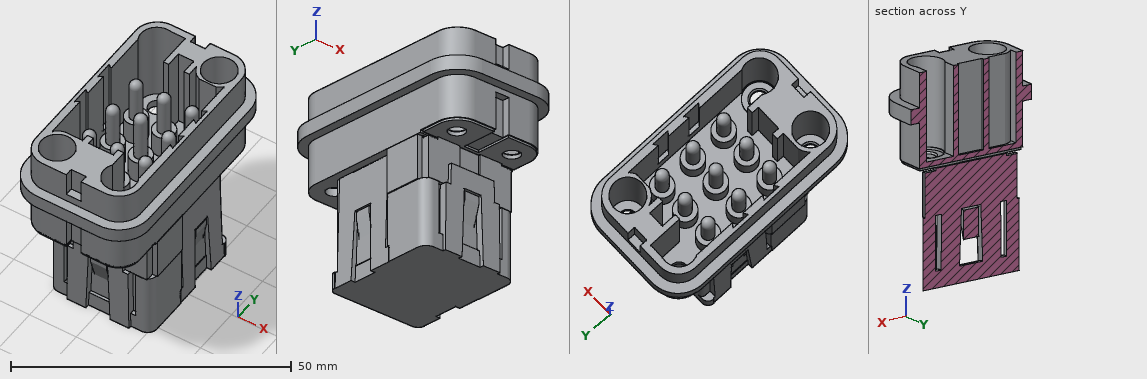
import cadquery as cq


top_z = 41.15
flange_top_z = 34.55
flange_bottom_z = 31.6
shell_bottom_z = 22.55
front_relief_top_z = 23.02
body_notch_z = 22.1
body_step_z = 13.65
groove_end_z = 3.28
cavity_floor_z = 24.1
bolt_seat_z = 23.65

flange_x = 26.3
flange_y = 45.5
flange_corner = 6.45
shell_x = 22.48
shell_y = 41.6
shell_corner = 4.55
front_relief_y = -11.38
skirt_start_y = -11.85
skirt_inset = 0.25
skirt_notch_half = 1.75
skirt_notch_back_y = -12.65

notch_width = 3.2
notch_depth = 1.6
upper_notch_bottom_z = 36.15
lower_notch_top_z = 30.5

cavity_half_x = 9.7
cavity_back_y = 12.3
cavity_front_y = -12.0
bolt_x = 6.7
bolt_y = 16.05
bore_radius = 3.35
seat_radius = 3.25
tube_radius = 4.2
bolt_hole_radius = 1.75
bolt_chamfer = 0.3
back_rib_outer_x = 2.78
back_rib_inner_x = 1.65
back_slot_y = 15.42
back_pocket_y = 19.35
front_rib_inner_x = 2.65
front_rib_outer_x = 3.9
front_rib_y = -10.5
wall_groove_depth = 0.8
wall_groove_length = 3.65
wall_groove_flare = 0.55
wall_groove_bottom_z = 27.3

pin_pitch_x = 6.0
pin_pitch_y = 7.5
pin_centre_y = 0.8
pin_radius = 1.27
pin_top_z = 37.75
centre_pin_top_z = 38.95
pin_boss_radius = 2.28
pin_boss_top_z = 28.9

body_half_x = 10.9
core_half_x = 9.37
upper_front_half_x = 10.05
body_front_y = -12.38
upper_front_y = -12.3
body_back_y = 13.0
front_corner = 2.0
back_corner = 1.55
core_corner = 0.9
upper_block_half_x = 11.15
block_front_y = -10.55
block_back_y = -2.45
block_slope_y = -1.55
front_panel_y = -13.0
front_panel_top_z = 17.9
front_panel_bottom_half = 6.65
front_panel_step_half = 6.45
front_tongue_step_half = 5.32
front_tongue_top_half = 5.2
front_groove_half = 7.65
groove_depth = 0.9
front_recess_half = 2.4
front_recess_depth = 0.35
top_notch_half_x = 7.75
top_notch_y = -10.8
side_panel_front_y = -1.7
side_panel_back_y = 11.0
side_base_front_y = -2.7
side_base_back_y = 11.45
side_panel_bottom_x = 10.85
side_panel_top_x = 10.15

side_window_y = 4.7
window_top_z = 13.92
window_bottom_half = 2.6
window_top_half = 2.05
front_window_depth = 1.45
front_window_foot_depth = 0.85
side_window_depth = 1.15
side_window_foot_depth = 1.0
catch_half = 1.7
front_catch_bottom_z = 7.85
side_catch_bottom_z = 8.33
catch_edge_z = 12.15
catch_top_z = 13.6
front_catch_setback = 0.2
side_catch_setback = 0.45


def block(x0, x1, y0, y1, z0, z1):
    """Box between two opposite corners."""
    return cq.Workplane("XY").box(x1 - x0, y1 - y0, z1 - z0, centered=False).translate((x0, y0, z0))


def rounded_block(width, length, radius, z0, z1):
    """Box centred on X = Y = 0 with rounded vertical edges."""
    solid = block(-width / 2, width / 2, -length / 2, length / 2, z0, z1)
    return solid.edges("|Z").fillet(radius)


def cylinder(x, y, radius, z0, z1):
    return cq.Workplane("XY").circle(radius).extrude(z1 - z0).translate((x, y, z0))


def prism_z(points, z0, z1):
    """Outline in X and Y, extruded upward."""
    return cq.Workplane("XY").polyline(points).close().extrude(z1 - z0).translate((0, 0, z0))


def prism_y(points, y0, y1):
    """Outline in X and Z, extruded from y0 to y1."""
    return cq.Workplane("XZ").polyline(points).close().extrude(y0 - y1).translate((0, y0, 0))


def tapered_plate(bottom_half, top_half, z0, z1, y0, y1):
    """Plate symmetric about X = 0 whose width changes with height."""
    outline = [(-bottom_half, z0), (bottom_half, z0), (top_half, z1), (-top_half, z1)]
    return prism_y(outline, y0, y1)


def both_sides(solid):
    """A solid together with its mirror image across X = 0."""
    return solid.union(solid.mirror("YZ"))


def make_shell():
    """Flanged outer shell with end notches and a thin front skirt under a relief."""
    shell = rounded_block(shell_x, shell_y, shell_corner, shell_bottom_z, top_z)
    relief = block(-flange_x, flange_x, -flange_y, front_relief_y, shell_bottom_z, front_relief_top_z)
    skirt = rounded_block(
        shell_x - 2 * skirt_inset,
        shell_y - 2 * skirt_inset,
        shell_corner - skirt_inset,
        shell_bottom_z,
        front_relief_top_z,
    )
    skirt = skirt.intersect(block(-flange_x, flange_x, -flange_y, skirt_start_y, 0, top_z))
    flange = rounded_block(flange_x, flange_y, flange_corner, flange_bottom_z, flange_top_z)
    shell = shell.cut(relief).union(flange)

    half_notch = notch_width / 2
    end_y = shell_y / 2
    for y0 in (-end_y, end_y - notch_depth):
        y1 = y0 + notch_depth
        shell = shell.cut(block(-half_notch, half_notch, y0, y1, upper_notch_bottom_z, top_z))
        shell = shell.cut(block(-half_notch, half_notch, y0, y1, shell_bottom_z, lower_notch_top_z))
    skirt_notch = block(
        -skirt_notch_half, skirt_notch_half, -end_y, skirt_notch_back_y, shell_bottom_z, front_relief_top_z
    )
    return shell.union(skirt.cut(skirt_notch))


def make_cavity():
    """Open space above the cavity floor, leaving the ribs and bolt tubes standing."""
    z0, z1 = cavity_floor_z, top_z
    edge = cavity_half_x
    cavity = block(-edge, edge, cavity_front_y, cavity_back_y, z0, z1)

    cavity = cavity.union(block(-edge, -back_rib_outer_x, cavity_back_y, bolt_y, z0, z1))
    cavity = cavity.union(block(-bolt_x, -back_rib_outer_x, bolt_y, back_pocket_y, z0, z1))
    cavity = cavity.union(cylinder(-bolt_x, bolt_y, bore_radius, z0, z1))
    cavity = cavity.union(block(-back_rib_inner_x, back_rib_inner_x, cavity_back_y, back_slot_y, z0, z1))
    tube = cylinder(bolt_x, bolt_y, tube_radius, z0, z1)
    cavity = cavity.union(block(back_rib_outer_x, edge, cavity_back_y, bolt_y, z0, z1).cut(tube))

    tube = cylinder(-bolt_x, -bolt_y, tube_radius, z0, z1)
    cavity = cavity.union(block(-edge, -bolt_x, -bolt_y, cavity_front_y, z0, z1).cut(tube))
    cavity = cavity.union(block(front_rib_outer_x, edge, -bolt_y, cavity_front_y, z0, z1))
    rib = block(front_rib_inner_x, front_rib_outer_x, cavity_front_y, front_rib_y, z0, z1)
    cavity = cavity.cut(both_sides(rib))

    half_length = wall_groove_length / 2
    outer = edge + wall_groove_depth
    for step in (-0.5, 0.5):
        y = pin_centre_y + step * pin_pitch_y
        groove = prism_z(
            [
                (edge, y - half_length + wall_groove_flare),
                (outer, y - half_length),
                (outer, y + half_length),
                (edge, y + half_length - wall_groove_flare),
            ],
            wall_groove_bottom_z,
            z1,
        )
        cavity = cavity.union(both_sides(groove))
    return cavity


def make_bolt_cuts():
    """Bores and through holes at the four bolts, countersunk at the front pair."""
    cuts = cylinder(bolt_x, bolt_y, bore_radius, bolt_seat_z, top_z)
    cuts = cuts.union(cylinder(-bolt_x, -bolt_y, bore_radius, bolt_seat_z, top_z))
    cuts = cuts.union(cylinder(bolt_x, -bolt_y, bore_radius, cavity_floor_z, top_z))
    cuts = cuts.union(cylinder(bolt_x, -bolt_y, seat_radius, bolt_seat_z, cavity_floor_z))
    for x in (-bolt_x, bolt_x):
        for y in (-bolt_y, bolt_y):
            cuts = cuts.union(cylinder(x, y, bolt_hole_radius, 0, top_z))
        countersink = (
            cq.Workplane("XY", origin=(x, -bolt_y, bolt_seat_z - bolt_chamfer))
            .circle(bolt_hole_radius)
            .workplane(offset=bolt_chamfer)
            .circle(bolt_hole_radius + bolt_chamfer)
            .loft()
        )
        cuts = cuts.union(countersink)
    return cuts


def make_pins():
    """Round-tipped pins on bosses; the middle pin is taller."""
    pins = cq.Workplane("XY")
    for column in (-1, 0, 1):
        for row in (-1, 0, 1):
            x = column * pin_pitch_x
            y = pin_centre_y + row * pin_pitch_y
            tip_z = centre_pin_top_z if (column, row) == (0, 0) else pin_top_z
            dome_z = tip_z - pin_radius
            dome = cq.Workplane("XY").sphere(pin_radius).translate((x, y, dome_z))
            pins = pins.add(cylinder(x, y, pin_boss_radius, shell_bottom_z, pin_boss_top_z))
            pins = pins.add(cylinder(x, y, pin_radius, shell_bottom_z, dome_z).union(dome))
    return pins.combine()


def make_window(depth, foot_depth, catch_bottom_z, catch_setback):
    """Cutter for a tapered latch window around a wedge catch, for a face at Y = 0 facing -Y."""
    step_half = window_bottom_half + (window_top_half - window_bottom_half) * groove_end_z / window_top_z
    foot = tapered_plate(window_bottom_half, step_half, 0, groove_end_z, -depth, foot_depth)
    opening = tapered_plate(step_half, window_top_half, groove_end_z, window_top_z, -depth, depth)
    wedge = [
        (depth, catch_bottom_z),
        (catch_setback, catch_edge_z),
        (catch_setback, catch_top_z),
        (depth, catch_top_z),
    ]
    catch = cq.Workplane("YZ").polyline(wedge).close().extrude(catch_half, both=True)
    return foot.union(opening).cut(catch)


def make_core():
    """Inner block with rounded back edges, widening above the step at the front."""
    core = block(-core_half_x, core_half_x, block_back_y, body_back_y, 0, shell_bottom_z)
    core = core.edges("|Z and >Y").fillet(core_corner)
    upper_front = block(
        -upper_front_half_x,
        upper_front_half_x,
        upper_front_y,
        block_slope_y,
        body_step_z,
        shell_bottom_z,
    )
    return core.union(upper_front)


def make_lower_body():
    """Rounded foot, open at the sides for the panels, and the wide front part below the step."""
    foot = block(-body_half_x, body_half_x, body_front_y, body_back_y, 0, groove_end_z)
    foot = foot.edges("|Z and <Y").fillet(front_corner).edges("|Z and >Y").fillet(back_corner)
    front = block(-body_half_x, body_half_x, body_front_y, block_back_y, 0, body_step_z)
    front = front.edges("|Z and <Y").fillet(front_corner)
    opening = block(core_half_x, flange_x, side_base_front_y, side_base_back_y, 0, groove_end_z)
    return foot.union(front).cut(both_sides(opening))


def make_upper_blocks():
    """Blocks on both sides above the step, each with a steep back flank."""
    outline = [
        (0, block_front_y),
        (upper_block_half_x, block_front_y),
        (upper_block_half_x, block_back_y),
        (upper_front_half_x, block_slope_y),
        (0, block_slope_y),
    ]
    return both_sides(prism_z(outline, body_step_z, shell_bottom_z))


def make_side_panels():
    """Side panels that lean inward toward the top and are wider at the foot."""
    lean = prism_y(
        [(0, 0), (side_panel_bottom_x, 0), (side_panel_top_x, body_notch_z), (0, body_notch_z)],
        side_base_front_y,
        side_base_back_y,
    )
    panel_area = block(0, flange_x, side_panel_front_y, side_panel_back_y, 0, top_z)
    base_area = block(0, flange_x, side_base_front_y, side_base_back_y, 0, groove_end_z)
    return both_sides(lean.intersect(panel_area.union(base_area)))


def make_front_panel():
    """Front panel that narrows to a tongue above the step."""
    panel = tapered_plate(
        front_panel_bottom_half,
        front_panel_step_half,
        0,
        body_step_z,
        front_panel_y,
        body_front_y + groove_depth,
    )
    tongue = tapered_plate(
        front_tongue_step_half,
        front_tongue_top_half,
        body_step_z,
        front_panel_top_z,
        front_panel_y,
        body_front_y + groove_depth,
    )
    return panel.union(tongue)


def make_front_cuts():
    """Grooves beside the front panel, recess above it and clearances under the shell."""
    groove = block(
        0, front_groove_half, body_front_y, body_front_y + groove_depth, groove_end_z, body_step_z
    )
    recess = block(
        0,
        front_recess_half,
        upper_front_y,
        upper_front_y + front_recess_depth,
        front_panel_top_z,
        shell_bottom_z,
    )
    clearance = block(top_notch_half_x, flange_x, -flange_y, top_notch_y, body_notch_z, shell_bottom_z)
    return both_sides(groove).union(both_sides(recess)).union(both_sides(clearance))


def make_windows():
    """Latch windows in the front panel and in both side panels."""
    front = make_window(
        front_window_depth, front_window_foot_depth, front_catch_bottom_z, front_catch_setback
    )
    front = front.translate((0, front_panel_y, 0))
    side = make_window(
        side_window_depth, side_window_foot_depth, side_catch_bottom_z, side_catch_setback
    )
    side = side.rotate((0, 0, 0), (0, 0, 1), -90)
    side = side.translate((-side_panel_bottom_x, side_window_y, 0))
    return front.union(both_sides(side))


def make_body():
    body = make_core().union(make_lower_body()).union(make_upper_blocks()).union(make_side_panels())
    body = body.cut(make_front_cuts()).union(make_front_panel())
    return body.cut(make_windows())


shell = make_shell().cut(make_cavity()).cut(make_bolt_cuts())
result = shell.union(make_body()).union(make_pins())